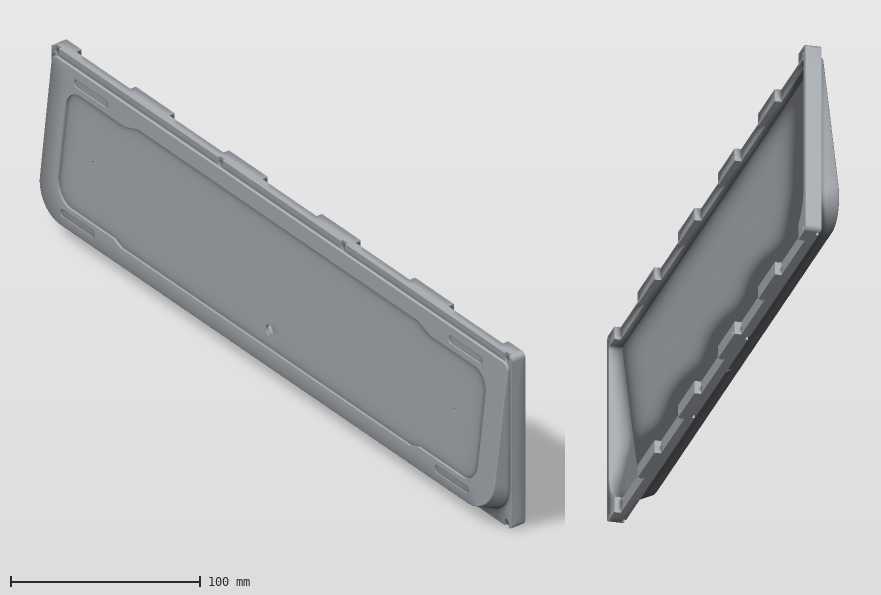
import cadquery as cq
import math

LENGTH = 396.5
HEIGHT = 107.0
DEPTH = 21.0

FRAME_DEPTH = 8.7
FRAME_CORNER = 2.8

BASE_SIDE, BASE_TOP, BASE_BOTTOM = 2.0, 4.8, 4.8
TIP_SIDE, TIP_TOP, TIP_BOTTOM = 2.8, 6.0, 10.5
BODY_TOP_RADIUS = 4.0
BODY_BOTTOM_RADIUS = 20.5
FACE_TILT = math.radians(6.8)
FACE_ROUND = 0.8

SIDE_WALL = 2.5
FACE_WALL = 3.0

PANEL_DEPTH = 1.5
PANEL_HALF_LENGTH = 180.7
PANEL_END_TOP, PANEL_END_BOTTOM = 35.5, -31.0
PANEL_MID_TOP, PANEL_MID_BOTTOM = 39.2, -33.3
PANEL_STEP_X = 131.0
PANEL_STEP_RUN = 3.0
PANEL_TOP_RADIUS, PANEL_BOTTOM_RADIUS = 11.0, 12.5

FOOT_LENGTH, FOOT_WIDTH, FOOT_DEPTH = 29.7, 4.8, 0.8
FOOT_X = 161.0
FOOT_TOP_Z, FOOT_BOTTOM_Z = 41.2, -35.5

SCREW_HOLE, SCREW_HEAD, SCREW_HEAD_DEPTH = 2.5, 3.7, 1.5
SCREW_INNER_X, SCREW_OUTER_X = 52.7, 193.5
SCREW_EDGE = 2.8

PIN_HOLE, PIN_X, PIN_Z = 1.62, 155.5, 2.5
CENTRE_HOLE, CENTRE_HOLE_Z = 6.0, -23.8

PORT_LENGTH, PORT_WIDTH = 13.0, 2.5
PORT_RISE = 0.8

NOTCH_COUNT, NOTCH_PITCH = 5, 80.0
NOTCH_LENGTH, NOTCH_DEPTH = 46.8, 3.5

FRAME_FRONT = -FRAME_DEPTH
TIP_Z = -HEIGHT / 2 + TIP_BOTTOM
ARC_INSET = 1 - math.sqrt(0.5)


def plane_at(y):
    """Sketch plane across Y: local x is X, local y is Z, extruding toward -Y."""
    return cq.Workplane("XZ", origin=(0, y, 0))


def face_y(z):
    """Y of the sloped face at height z."""
    return -DEPTH + (z - TIP_Z) * math.tan(FACE_TILT)


def behind_face(offset):
    """Long block whose front is the sloped face moved back by offset."""
    shift = offset / math.cos(FACE_TILT)
    return (
        cq.Workplane("YZ")
        .moveTo(face_y(-HEIGHT) + shift, -HEIGHT)
        .lineTo(face_y(HEIGHT) + shift, HEIGHT)
        .lineTo(HEIGHT, HEIGHT)
        .lineTo(HEIGHT, -HEIGHT)
        .close()
        .extrude(LENGTH, both=True)
    )


def right_side(sketch, right, top, bottom, top_radius, bottom_radius):
    """Continue a sketch from its top edge, around both right corners, to its bottom edge."""
    top_inset = ARC_INSET * top_radius
    bottom_inset = ARC_INSET * bottom_radius
    return (
        sketch.lineTo(right - top_radius, top)
        .threePointArc((right - top_inset, top - top_inset), (right, top - top_radius))
        .lineTo(right, bottom + bottom_radius)
        .threePointArc((right - bottom_inset, bottom + bottom_inset), (right - bottom_radius, bottom))
    )


def body_outline(y, side, top, bottom, inset):
    """Body outline at y, from its margins to the frame edges, moved in all round by inset."""
    upper = HEIGHT / 2 - top - inset
    lower = -HEIGHT / 2 + bottom + inset
    sketch = right_side(
        plane_at(y).moveTo(0, upper),
        LENGTH / 2 - side - inset,
        upper,
        lower,
        BODY_TOP_RADIUS - inset,
        BODY_BOTTOM_RADIUS - inset,
    )
    return sketch.lineTo(0, lower).mirrorY()


def wedge(inset, offset):
    """Drafted body, with its walls moved in by inset and its sloped face moved back by offset."""
    base = body_outline(FRAME_FRONT, BASE_SIDE, BASE_TOP, BASE_BOTTOM, inset)
    tip = body_outline(-DEPTH, TIP_SIDE, TIP_TOP, TIP_BOTTOM, inset)
    drafted = cq.Workplane(cq.Solid.makeLoft([base.wires().val(), tip.wires().val()], True))
    inside_frame = base.extrude(-FRAME_DEPTH)
    return drafted.union(inside_frame).intersect(behind_face(offset))


def panel_outline():
    step_top = PANEL_STEP_X - PANEL_STEP_RUN * (PANEL_MID_TOP - PANEL_END_TOP)
    step_bottom = PANEL_STEP_X - PANEL_STEP_RUN * (PANEL_END_BOTTOM - PANEL_MID_BOTTOM)
    sketch = (
        plane_at(0)
        .moveTo(0, PANEL_MID_TOP)
        .lineTo(step_top, PANEL_MID_TOP)
        .lineTo(PANEL_STEP_X, PANEL_END_TOP)
    )
    sketch = right_side(
        sketch, PANEL_HALF_LENGTH, PANEL_END_TOP, PANEL_END_BOTTOM, PANEL_TOP_RADIUS, PANEL_BOTTOM_RADIUS
    )
    return (
        sketch.lineTo(PANEL_STEP_X, PANEL_END_BOTTOM)
        .lineTo(step_bottom, PANEL_MID_BOTTOM)
        .lineTo(0, PANEL_MID_BOTTOM)
        .mirrorY()
    )


def sunk_in_face(sketch, depth):
    """Cutter with the sketched outline, reaching depth below the sloped face."""
    return sketch.extrude(2 * DEPTH).cut(behind_face(depth))


def round_holes(y, centres, diameter, length):
    """Cylinders running from y toward the front."""
    return plane_at(y).pushPoints(centres).circle(diameter / 2).extrude(length)


frame = plane_at(0).rect(LENGTH, HEIGHT).extrude(FRAME_DEPTH).edges("|Y").fillet(FRAME_CORNER)
body = wedge(0, 0).faces("<Y").edges().fillet(FACE_ROUND)
result = frame.union(body).cut(wedge(SIDE_WALL, FACE_WALL))

result = result.cut(sunk_in_face(panel_outline(), PANEL_DEPTH))
foot_centres = [(x, z) for x in (-FOOT_X, FOOT_X) for z in (FOOT_TOP_Z, FOOT_BOTTOM_Z)]
feet = plane_at(0).pushPoints(foot_centres).slot2D(FOOT_LENGTH, FOOT_WIDTH)
result = result.cut(sunk_in_face(feet, FOOT_DEPTH))

screw_z = HEIGHT / 2 - SCREW_EDGE
screw_xs = (-SCREW_OUTER_X, -SCREW_INNER_X, SCREW_INNER_X, SCREW_OUTER_X)
screw_centres = [(x, z) for x in screw_xs for z in (-screw_z, screw_z)]
result = result.cut(round_holes(0, screw_centres, SCREW_HOLE, FRAME_DEPTH))
head_floor = plane_at(FRAME_FRONT + SCREW_HEAD_DEPTH)
head_middles = [(x, z) for x in screw_xs for z in (-HEIGHT / 2, HEIGHT / 2)]
heads = head_floor.pushPoints(head_middles).slot2D(2 * SCREW_EDGE + SCREW_HEAD, SCREW_HEAD, 90)
result = result.cut(heads.extrude(SCREW_HEAD_DEPTH))

result = result.cut(round_holes(0, [(-PIN_X, PIN_Z), (PIN_X, PIN_Z)], PIN_HOLE, DEPTH))
result = result.cut(round_holes(0, [(0, CENTRE_HOLE_Z)], CENTRE_HOLE, DEPTH))

port_z = -HEIGHT / 2 + BASE_BOTTOM + PORT_RISE + PORT_WIDTH / 2
port = plane_at(FRAME_FRONT).center(0, port_z).slot2D(PORT_LENGTH, PORT_WIDTH).extrude(DEPTH)
result = result.cut(port)

for i in range(NOTCH_COUNT):
    notch_x = (i - (NOTCH_COUNT - 1) / 2) * NOTCH_PITCH
    notch = cq.Workplane("XY").box(NOTCH_LENGTH, 2 * NOTCH_DEPTH, 2 * HEIGHT)
    result = result.cut(notch.translate((notch_x, 0, 0)))

result = result.solids()